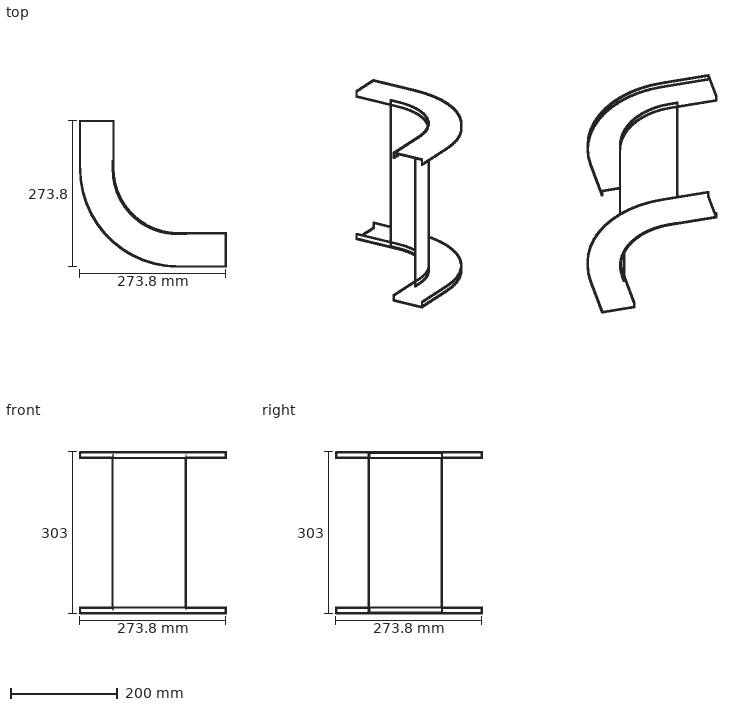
import cadquery as cq

total_height = 303.0
sheet = 1.0

outer_bend_radius = 183.75
channel_width = 63.0
channel_depth = 11.0
channel_leg = 90.0
fold_radius = 2.0
inner_bend_radius = outer_bend_radius - channel_width

wall_inner_radius = inner_bend_radius + sheet
wall_outer_radius = wall_inner_radius + sheet
wall_leg = 15.0
wall_height = total_height - 2 * fold_radius


def bend_path(radius, leg, z):
    """Straight, quarter turn about the origin, straight: from the +Y end to the +X end."""
    return (
        cq.Workplane("XY", origin=(0, 0, z))
        .moveTo(-radius, leg)
        .lineTo(-radius, 0)
        .radiusArc((0, -radius), -radius)
        .lineTo(leg, -radius)
    )


def channel_section():
    """U section at the +Y end, web on top, flanges pointing down."""
    left = -outer_bend_radius
    right = -inner_bend_radius
    top = total_height / 2
    bottom = top - channel_depth
    fold_start = top - fold_radius
    inside_fold = fold_radius - sheet
    plane = cq.Plane(origin=(0, channel_leg, 0), xDir=(1, 0, 0), normal=(0, -1, 0))
    return (
        cq.Workplane(plane)
        .moveTo(left, bottom)
        .lineTo(left, fold_start)
        .radiusArc((left + fold_radius, top), fold_radius)
        .lineTo(right - fold_radius, top)
        .radiusArc((right, fold_start), fold_radius)
        .lineTo(right, bottom)
        .lineTo(right - sheet, bottom)
        .lineTo(right - sheet, fold_start)
        .radiusArc((right - fold_radius, top - sheet), -inside_fold)
        .lineTo(left + fold_radius, top - sheet)
        .radiusArc((left + sheet, fold_start), -inside_fold)
        .lineTo(left + sheet, bottom)
        .close()
    )


def make_channel():
    """Upper channel, swept along the outside of its bend."""
    return channel_section().sweep(bend_path(outer_bend_radius, channel_leg, total_height / 2))


def make_wall():
    """Curved sheet with a short straight run at each end."""
    return (
        cq.Workplane("XY", origin=(0, 0, -wall_height / 2))
        .moveTo(-wall_outer_radius, wall_leg)
        .lineTo(-wall_outer_radius, 0)
        .radiusArc((0, -wall_outer_radius), -wall_outer_radius)
        .lineTo(wall_leg, -wall_outer_radius)
        .lineTo(wall_leg, -wall_inner_radius)
        .lineTo(0, -wall_inner_radius)
        .radiusArc((-wall_inner_radius, 0), wall_inner_radius)
        .lineTo(-wall_inner_radius, wall_leg)
        .close()
        .extrude(wall_height)
    )


upper_channel = make_channel()
lower_channel = upper_channel.mirror("XY")
wall = make_wall()

result = cq.Compound.makeCompound([upper_channel.val(), lower_channel.val(), wall.val()])